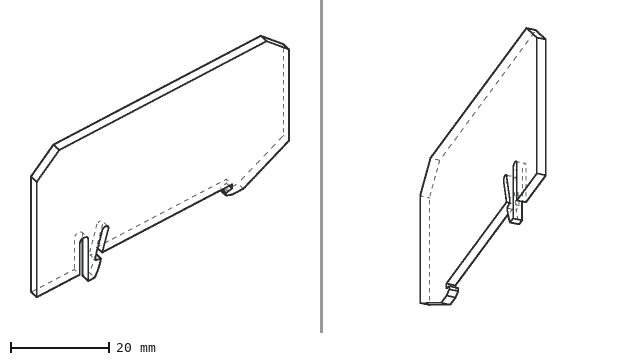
import cadquery as cq
import math

thickness = 2.0
length = 64.4
height = 41.7
top_chamfer = 5.7

base_z = 3.1
rail_z = 6.05

foot_slope_z = 10.0
foot_start_u = 11.65
foot_end_u = 14.6
hook_wall_u = 14.55
hook_tip_u = 16.1
hook_tip_low_z = 3.75
hook_tip_high_z = 4.5
hook_root_z = 4.9

slot_top_z = 13.0
slant_angle = math.radians(15)
slant_width = 1.6
slant_radius = slant_width / 2
slant_center_u = 46.9
slant_center_z = slot_top_z - slant_radius
straight_width = 2.1
straight_radius = straight_width / 2

tongue_neck_u = 49.3
tongue_back_u = 51.25
barb_root_z = 4.8
barb_tip = (48.0, 4.5)
barb_curve_middle = (48.6, 2.05)
tongue_tip_u = 49.6


def slant_wall(side):
    """Point where a slanted slot wall meets its round end; side is -1 or 1."""
    return (
        slant_center_u + side * slant_radius * math.cos(slant_angle),
        slant_center_z + side * slant_radius * math.sin(slant_angle),
    )


near_wall = slant_wall(-1)
far_wall = slant_wall(1)
slant_crown = (
    slant_center_u - slant_radius * math.sin(slant_angle),
    slant_center_z + slant_radius * math.cos(slant_angle),
)
slant_mouth_u = near_wall[0] + (near_wall[1] - rail_z) * math.tan(slant_angle)
neck_top_z = far_wall[1] - (tongue_neck_u - far_wall[0]) / math.tan(slant_angle)
straight_far_u = tongue_back_u + straight_width
straight_center_z = slot_top_z - straight_radius

profile_plane = cq.Plane(
    origin=(thickness / 2, length / 2, -height / 2),
    xDir=(0, -1, 0),
    normal=(-1, 0, 0),
)

result = (
    cq.Workplane(profile_plane)
    .moveTo(0, foot_slope_z)
    .lineTo(foot_start_u, base_z)
    .lineTo(foot_end_u, base_z)
    .lineTo(hook_tip_u, hook_tip_low_z)
    .lineTo(hook_tip_u, hook_tip_high_z)
    .lineTo(hook_wall_u, hook_root_z)
    .lineTo(hook_wall_u, rail_z)
    .lineTo(slant_mouth_u, rail_z)
    .lineTo(*near_wall)
    .threePointArc(slant_crown, far_wall)
    .lineTo(tongue_neck_u, neck_top_z)
    .lineTo(tongue_neck_u, barb_root_z)
    .lineTo(*barb_tip)
    .threePointArc(barb_curve_middle, (tongue_tip_u, 0))
    .lineTo(tongue_back_u, 0)
    .lineTo(tongue_back_u, straight_center_z)
    .threePointArc(
        (tongue_back_u + straight_radius, slot_top_z),
        (straight_far_u, straight_center_z),
    )
    .lineTo(straight_far_u, base_z)
    .lineTo(length, base_z)
    .lineTo(length, height - top_chamfer)
    .lineTo(length - top_chamfer, height)
    .lineTo(top_chamfer, height)
    .lineTo(0, height - top_chamfer)
    .close()
    .extrude(thickness)
)